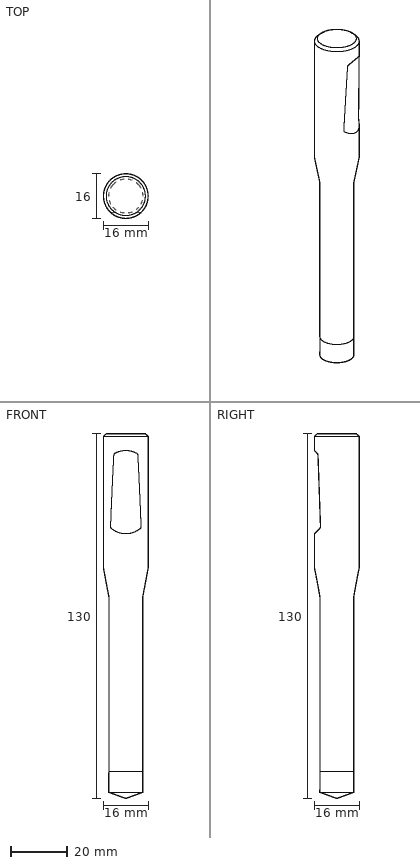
import cadquery as cq
import math

total_length = 130.0
shank_diameter = 16.0
head_diameter = 12.2

point_angle = 140.0
head_length = 9.6
head_back_taper = 0.03
head_radius = head_diameter / 2
point_height = head_radius / math.tan(math.radians(point_angle / 2))

neck_radius = head_radius - head_back_taper
taper_start = 71.9
taper_length = 10.1
shank_radius = shank_diameter / 2
shank_start = taper_start + taper_length
end_chamfer = 1.0

flat_bottom = 96.5
flat_top = 122.7
flat_middle_depth = 1.7
flat_corner_radius = 1.0
flat_angle = 2.0
flat_half_rise = (flat_top - flat_bottom) / 2 * math.tan(math.radians(flat_angle))
flat_bottom_depth = flat_middle_depth + flat_half_rise
flat_top_depth = flat_middle_depth - flat_half_rise
cut_clearance = 1.3


def make_head():
    """Cutting head, with its axis along Z and its point at the origin."""
    return (
        cq.Workplane("XZ")
        .moveTo(0, 0)
        .lineTo(head_radius, point_height)
        .lineTo(neck_radius, head_length)
        .lineTo(0, head_length)
        .close()
        .revolve(360, (0, 0, 0), (0, 1, 0))
    )


def make_flat_cutter():
    """Prism that removes the inclined flat and its end walls, with rounded corners between them."""
    outside = shank_radius + cut_clearance
    bottom_run = flat_bottom_depth + cut_clearance
    top_run = flat_top_depth + cut_clearance
    return (
        cq.Workplane("YZ")
        .moveTo(-outside, flat_bottom - bottom_run)
        .lineTo(flat_bottom_depth - shank_radius, flat_bottom)
        .lineTo(flat_top_depth - shank_radius, flat_top)
        .lineTo(-outside, flat_top + top_run)
        .close()
        .extrude(shank_radius, both=True)
        .faces(">Y")
        .edges("|X")
        .fillet(flat_corner_radius)
    )


def make_holder():
    """Turned holder resting on the head, with the clamping flat cut into its shank."""
    turned = (
        cq.Workplane("XZ")
        .moveTo(0, head_length)
        .lineTo(neck_radius, head_length)
        .lineTo(neck_radius, taper_start)
        .lineTo(shank_radius, shank_start)
        .lineTo(shank_radius, total_length - end_chamfer)
        .lineTo(shank_radius - end_chamfer, total_length)
        .lineTo(0, total_length)
        .close()
        .revolve(360, (0, 0, 0), (0, 1, 0))
    )
    return turned.cut(make_flat_cutter())


cutting_head = make_head()
holder = make_holder()

result = cq.Compound.makeCompound([cutting_head.val(), holder.val()])